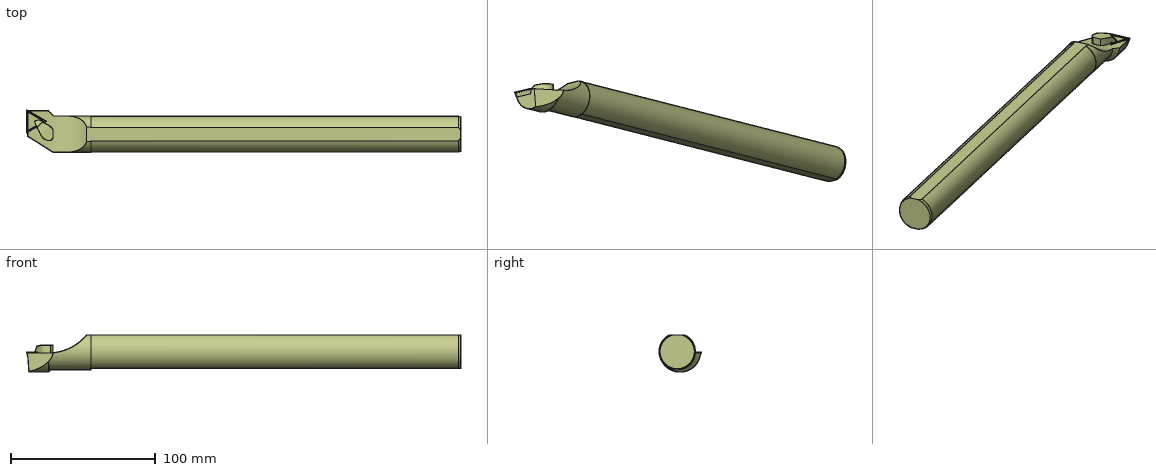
import cadquery as cq
import math

length = 300.0
overall_width = 29.5
overall_height = 25.8

neck_radius = 25.2 / 2
shank_radius = 25.0 / 2
flat_height = 23.0 / 2
shank_start = 44.5
bevel_length = 1.8
bevel_depth = 0.5

head_radius = overall_height - flat_height
head_side = 16.2
head_center_y = head_side - head_radius
head_length = 15.0
cone_length = 6.0
deck_z = -1.0
nose_x = 0.5
nose_lean = 1.0
relief_y = -1.5
relief_end_x = 18.3

scoop_start = 15.0
scoop_end = 41.5

insert_side = 16.0
insert_thickness = 3.5
insert_top = -0.3
insert_clearance = 11.0
insert_tip_y = overall_width - neck_radius
breaker_margin = 1.0
breaker_floor = deck_z

clamp_top = 4.5
clamp_angle = 135.0
clamp_nose_reach = 2.5
clamp_bevel_reach = -1.8
clamp_crest_reach = -7.2
clamp_nose_drop = 0.5

margin = 3.0
cut_size = 4 * neck_radius


def make_bar():
    """Revolved bar, with one full-length upper flat and a lower flat on the shank."""
    bar = (
        cq.Workplane("XY")
        .moveTo(0, 0)
        .lineTo(0, neck_radius)
        .lineTo(shank_start, neck_radius)
        .lineTo(shank_start, shank_radius)
        .lineTo(length - bevel_length, shank_radius)
        .lineTo(length, shank_radius - bevel_depth)
        .lineTo(length, 0)
        .close()
        .revolve(360, (0, 0, 0), (1, 0, 0))
    )
    upper = cq.Workplane("XY").box(length, cut_size, cut_size, centered=(False, True, False))
    lower = upper.translate((shank_start, 0, -flat_height - cut_size))
    return bar.cut(upper.translate((0, 0, flat_height))).cut(lower)


def make_head():
    """Cylinder offset toward +Y, closed by a 45 degree cone."""
    return (
        cq.Workplane("XY")
        .moveTo(0, head_center_y)
        .lineTo(0, head_side)
        .lineTo(head_length, head_side)
        .lineTo(head_length + cone_length, head_side - cone_length)
        .lineTo(head_length + cone_length, head_center_y)
        .close()
        .revolve(360, (0, head_center_y, 0), (1, head_center_y, 0))
    )


def make_scoop():
    """Material above the deck and above the arc tangent to it."""
    run = scoop_end - scoop_start
    rise = flat_height - deck_z
    radius = (run**2 + rise**2) / (2 * rise)
    half_angle = math.asin(run / radius) / 2
    arc_middle = (
        scoop_start + radius * math.sin(half_angle),
        deck_z + radius * (1 - math.cos(half_angle)),
    )
    return (
        cq.Workplane("XZ")
        .moveTo(-margin, deck_z)
        .lineTo(scoop_start, deck_z)
        .threePointArc(arc_middle, (scoop_end, flat_height))
        .lineTo(scoop_end, cut_size)
        .lineTo(-margin, cut_size)
        .close()
        .extrude(cut_size, both=True)
    )


def make_front_cut():
    """Wedge that leaves the front face leaning back toward the bottom."""
    return (
        cq.Workplane("XZ")
        .moveTo(-margin, deck_z)
        .lineTo(nose_x, deck_z)
        .lineTo(nose_x + nose_lean, -head_radius)
        .lineTo(nose_x + nose_lean, -cut_size)
        .lineTo(-margin, -cut_size)
        .close()
        .extrude(cut_size, both=True)
    )


def make_relief_cut():
    """Vertical slanting face across the -Y corner of the head."""
    slope = (-neck_radius - relief_y) / (relief_end_x - nose_x)
    start_x = nose_x - margin
    end_x = relief_end_x + margin
    return (
        cq.Workplane("XY")
        .moveTo(start_x, relief_y - slope * margin)
        .lineTo(end_x, -neck_radius + slope * margin)
        .lineTo(end_x, -cut_size)
        .lineTo(start_x, -cut_size)
        .close()
        .extrude(cut_size, both=True)
    )


def triangle(inset, z):
    """Equilateral triangle with one side along Y, moved inward by the inset."""
    side = insert_side - 2 * math.sqrt(3) * inset
    middle_y = insert_tip_y - insert_side / 2
    return (
        cq.Workplane("XY", origin=(0, middle_y, z))
        .moveTo(inset, side / 2)
        .lineTo(inset, -side / 2)
        .lineTo(inset + side * math.sqrt(3) / 2, 0)
        .close()
    )


def make_insert():
    """Tapered triangular plate with a sunken chip-breaker floor."""
    plate = triangle(0, insert_top).extrude(-insert_thickness, taper=insert_clearance)
    breaker = triangle(breaker_margin, breaker_floor).extrude(margin)
    return plate.cut(breaker)


def make_clamp():
    """Clamp finger standing on the deck, its top sloping to a bevelled nose."""
    finger = (
        cq.Workplane("XY", origin=(0, 0, deck_z))
        .moveTo(5.5, 9.0)
        .lineTo(6.5, 5.7)
        .lineTo(10.2, -1.2)
        .threePointArc((12.5, -3.5), (16.5, -4.5))
        .lineTo(18.3, -2.7)
        .lineTo(18.3, 3.0)
        .threePointArc((16.8, 4.8), (14.7, 6.3))
        .lineTo(8.7, 10.0)
        .close()
        .extrude(clamp_top - deck_z)
    )
    nose_cut = (
        cq.Workplane("XZ")
        .moveTo(clamp_crest_reach, clamp_top)
        .lineTo(clamp_bevel_reach, clamp_top - clamp_nose_drop)
        .lineTo(clamp_nose_reach, deck_z)
        .lineTo(clamp_nose_reach + margin, deck_z)
        .lineTo(clamp_nose_reach + margin, clamp_top)
        .close()
        .extrude(cut_size, both=True)
        .rotate((0, 0, 0), (0, 0, 1), clamp_angle)
    )
    return finger.cut(nose_cut)


insert = make_insert()

holder = make_bar().union(make_head())
for cutter in (make_scoop(), make_front_cut(), make_relief_cut()):
    holder = holder.cut(cutter)
holder = holder.union(make_clamp()).cut(insert)

result = cq.Compound.makeCompound([holder.solids().val(), insert.solids().val()])